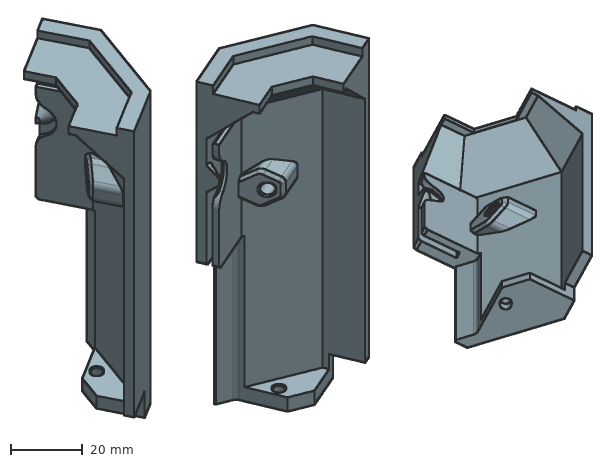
import cadquery as cq
import math

HEIGHT = 120.0
HALF_WIDTH = 37.0
CORNER = 16.9

SIDE_WALL = 3.0
DIAGONAL_WALL = 5.0
INNER_HALF = HALF_WIDTH - SIDE_WALL
INNER_SUM = HALF_WIDTH + CORNER - DIAGONAL_WALL * math.sqrt(2)
INNER_CORNER = INNER_SUM - INNER_HALF

RIM_WALL = 5.0
RIM_DEPTH = 2.9
RIM_HALF = HALF_WIDTH - RIM_WALL
RIM_CORNER = 15.0
OPENING_HALF = 18.0
OPENING_CORNER = 9.2
CEILING_TOP = HEIGHT - 5.9
CEILING_BOTTOM = HEIGHT - 19.0
CEILING_HALF = 20.0
CEILING_CORNER = 7.3

BASE_THICKNESS = 4.9
BASE_LEFT = 17.3
BASE_FRONT = 10.8
BASE_CHAMFER = 5.8
FRONT_STEP_Z = 10.1
BACK_STEP_Z = 57.0
BACK_STEP_X = 13.0
LAP_WALL = 3.2
LAP_FILLET = 2.2
END_CHAMFER = 1.0

BASE_HOLE_DIAMETER = 3.4
BASE_HOLE_PLACE = 20.4
BASE_HOLE_CHAMFER = 0.4

SLOT_WIDTH = 1.8
SLOT_END_X = 12.0
SLOT_END_TOP = 99.0
TAB_THICKNESS = 2.0
TAB_TOP = 100.1
TAB_BACK_CHAMFER = 0.6
TAB_BACK = INNER_HALF - SLOT_WIDTH
TAB_FRONT = TAB_BACK - TAB_THICKNESS
NOTCH_RADIUS = 6.0
NOTCH_FILLET = 5.5
NOTCH_BACK_CHAMFER = 1.0

STUD_Z = 87.2
STUD_BASE_RADIUS = 4.7
STUD_TIP_RADIUS = 1.2

BOSS_Y = 24.6
BOSS_Z = 75.0
BOSS_HALF_WIDTH = 6.5
BOSS_HALF_HEIGHT = 6.8
BOSS_FACE_ANGLE = 30.0
BOSS_EDGE_FILLET = 2.4
BOSS_END_X = 16.5
BOSS_END_TILT = 21.0
BOSS_END_CHAMFER = 1.1
BOSS_HOLE_DIAMETER = 4.1
BOSS_HOLE_CHAMFER = 0.5
BOSS_HOLE_Y = 22.7


def quarter_octagon(half, corner, z):
    """Quarter outline of an octagon, at height z."""
    points = [(0, 0), (half, 0), (half, corner), (corner, half), (0, half)]
    return cq.Workplane("XY", origin=(0, 0, z)).polyline(points).close()


def octagon_prism(half, corner, z_low, z_high):
    return quarter_octagon(half, corner, z_low).extrude(z_high - z_low)


def box(x_range, y_range, z_range):
    corner = (x_range[0], y_range[0], z_range[0])
    sizes = [high - low for low, high in (x_range, y_range, z_range)]
    return cq.Workplane("XY", origin=corner).box(*sizes, centered=False)


def make_ceiling():
    """Tapered space below the top opening."""
    low = quarter_octagon(INNER_HALF, INNER_CORNER, CEILING_BOTTOM)
    high = quarter_octagon(CEILING_HALF, CEILING_CORNER, CEILING_TOP)
    wires = [cq.Wire.assembleEdges(outline.val().Edges()) for outline in (low, high)]
    return cq.Workplane(cq.Solid.makeLoft(wires, True))


def make_shell():
    shell = octagon_prism(HALF_WIDTH, CORNER, 0, HEIGHT)
    shell = shell.cut(octagon_prism(RIM_HALF, RIM_CORNER, HEIGHT - RIM_DEPTH, HEIGHT))
    shell = shell.cut(octagon_prism(OPENING_HALF, OPENING_CORNER, CEILING_TOP, HEIGHT))
    shell = shell.cut(make_ceiling())
    return shell.cut(octagon_prism(INNER_HALF, INNER_CORNER, 0, CEILING_BOTTOM))


def make_base():
    points = [
        (BASE_LEFT, BASE_FRONT + BASE_CHAMFER),
        (BASE_LEFT + BASE_CHAMFER, BASE_FRONT),
        (HALF_WIDTH, BASE_FRONT),
        (HALF_WIDTH, HALF_WIDTH),
        (BASE_LEFT, HALF_WIDTH),
    ]
    blank = cq.Workplane("XY").polyline(points).close().extrude(BASE_THICKNESS)
    return blank.intersect(octagon_prism(HALF_WIDTH, CORNER, 0, BASE_THICKNESS))


def make_back_step():
    """Space below the back wall, with the lap cut along the diagonal wall."""
    lap_sum = HALF_WIDTH + CORNER - LAP_WALL * math.sqrt(2)
    points = [
        (0, 0),
        (BASE_LEFT, 0),
        (BASE_LEFT, lap_sum - BASE_LEFT),
        (BACK_STEP_X, lap_sum - BACK_STEP_X),
        (BACK_STEP_X, HALF_WIDTH),
        (0, HALF_WIDTH),
    ]
    step = cq.Workplane("XY").polyline(points).close().extrude(BACK_STEP_Z)
    lap_edge = cq.selectors.NearestToPointSelector((BASE_LEFT, lap_sum - BASE_LEFT, BACK_STEP_Z / 2))
    return step.edges("|Z").edges(lap_edge).fillet(LAP_FILLET)


def make_base_hole():
    radius = BASE_HOLE_DIAMETER / 2
    points = [
        (0, 0),
        (radius, 0),
        (radius, BASE_THICKNESS - BASE_HOLE_CHAMFER),
        (radius + BASE_HOLE_CHAMFER, BASE_THICKNESS),
        (0, BASE_THICKNESS),
    ]
    hole = cq.Workplane("XZ").polyline(points).close().revolve(360, (0, 0), (0, 1))
    return hole.translate((BASE_HOLE_PLACE, BASE_HOLE_PLACE, 0))


def make_tab():
    """Tab with a rounded notch around the stud; it ends on the diagonal wall."""
    reach = NOTCH_RADIUS + NOTCH_FILLET
    rise = math.sqrt(reach**2 - NOTCH_FILLET**2)
    tangent = NOTCH_RADIUS / reach
    half_turn = math.atan2(rise, NOTCH_FILLET) / 2
    mid_x = NOTCH_FILLET - NOTCH_FILLET * math.cos(half_turn)
    mid_rise = rise - NOTCH_FILLET * math.sin(half_turn)
    end_x = INNER_SUM - TAB_BACK
    outline = (
        cq.Workplane("XZ", origin=(0, TAB_BACK, 0))
        .moveTo(0, BACK_STEP_Z)
        .lineTo(0, STUD_Z - rise)
        .threePointArc((mid_x, STUD_Z - mid_rise), (NOTCH_FILLET * tangent, STUD_Z - rise * tangent))
        .threePointArc((NOTCH_RADIUS, STUD_Z), (NOTCH_FILLET * tangent, STUD_Z + rise * tangent))
        .threePointArc((mid_x, STUD_Z + mid_rise), (0, STUD_Z + rise))
        .lineTo(0, TAB_TOP)
        .lineTo(end_x + TAB_THICKNESS, TAB_TOP)
        .lineTo(end_x + TAB_THICKNESS, BACK_STEP_Z)
        .close()
    )
    tab = outline.extrude(TAB_THICKNESS).edges(">Z and >Y").chamfer(TAB_BACK_CHAMFER)
    countersink = cq.Solid.makeCone(
        NOTCH_RADIUS + NOTCH_BACK_CHAMFER,
        NOTCH_RADIUS,
        NOTCH_BACK_CHAMFER,
        cq.Vector(0, TAB_BACK, STUD_Z),
        cq.Vector(0, -1, 0),
    )
    return tab.cut(cq.Workplane(countersink))


def make_slot_end():
    """Web that closes the slot beside the diagonal wall; its top rises at 45 degrees to the tab top."""
    end_x = INNER_SUM - TAB_FRONT
    points = [
        (SLOT_END_X, BACK_STEP_Z),
        (SLOT_END_X, SLOT_END_TOP),
        (SLOT_END_X + TAB_TOP - SLOT_END_TOP, TAB_TOP),
        (end_x, TAB_TOP),
        (end_x, BACK_STEP_Z),
    ]
    web = cq.Workplane("XZ", origin=(0, INNER_HALF, 0)).polyline(points).close()
    return web.extrude(SLOT_WIDTH)


def make_stud():
    cone = cq.Solid.makeCone(
        STUD_BASE_RADIUS,
        STUD_TIP_RADIUS,
        INNER_HALF - TAB_FRONT,
        cq.Vector(0, INNER_HALF, STUD_Z),
        cq.Vector(0, -1, 0),
    )
    return cq.Workplane(cone).intersect(box((0, HALF_WIDTH), (0, HALF_WIDTH), (0, HEIGHT)))


def make_boss_hole():
    """Screw hole along X through the boss and the diagonal wall."""
    hole = cq.Workplane("YZ", origin=(0, BOSS_HOLE_Y, BOSS_Z))
    return hole.circle(BOSS_HOLE_DIAMETER / 2).extrude(HALF_WIDTH)


def make_boss():
    """Hexagonal boss with a tilted, chamfered end; its root is buried in the wall."""
    side_height = BOSS_HALF_HEIGHT - BOSS_HALF_WIDTH * math.tan(math.radians(BOSS_FACE_ANGLE))
    points = [
        (BOSS_HALF_WIDTH, side_height),
        (0, BOSS_HALF_HEIGHT),
        (-BOSS_HALF_WIDTH, side_height),
        (-BOSS_HALF_WIDTH, -side_height),
        (0, -BOSS_HALF_HEIGHT),
        (BOSS_HALF_WIDTH, -side_height),
    ]
    prism = cq.Workplane("YZ", origin=(0, BOSS_Y, BOSS_Z)).polyline(points).close().extrude(HALF_WIDTH)
    prism = prism.edges("|X").edges("not >Y").fillet(BOSS_EDGE_FILLET)
    size = HALF_WIDTH * 2
    trim = cq.Workplane("XY").box(size, size, size).translate((-HALF_WIDTH, 0, 0))
    trim = trim.rotate((0, 0, 0), (0, 0, 1), BOSS_END_TILT).translate((BOSS_END_X, BOSS_Y, BOSS_Z))
    prism = prism.cut(trim).cut(make_boss_hole())
    hole_rim = prism.faces("<X").val().innerWires()[0]
    prism = prism.newObject(hole_rim.Edges()).chamfer(BOSS_HOLE_CHAMFER)
    end_rim = prism.faces("<X").val().outerWire()
    return prism.newObject(end_rim.Edges()).chamfer(BOSS_END_CHAMFER)


def make_end_chamfer():
    """Wedge that bevels the lower X = 0 corner of the back wall and the tab."""
    points = [(0, BACK_STEP_Z), (END_CHAMFER, BACK_STEP_Z), (0, BACK_STEP_Z + END_CHAMFER)]
    return cq.Workplane("XZ").polyline(points).close().extrude(-HALF_WIDTH)


result = make_shell().cut(make_back_step())
result = result.cut(box((BASE_LEFT, HALF_WIDTH), (0, BASE_FRONT), (0, FRONT_STEP_Z)))
result = result.union(make_base()).cut(make_base_hole())
result = result.union(make_slot_end()).union(make_tab()).union(make_stud())
boss = make_boss().intersect(octagon_prism(HALF_WIDTH, CORNER, 0, HEIGHT))
result = result.union(boss).cut(make_boss_hole())
result = result.cut(make_end_chamfer())